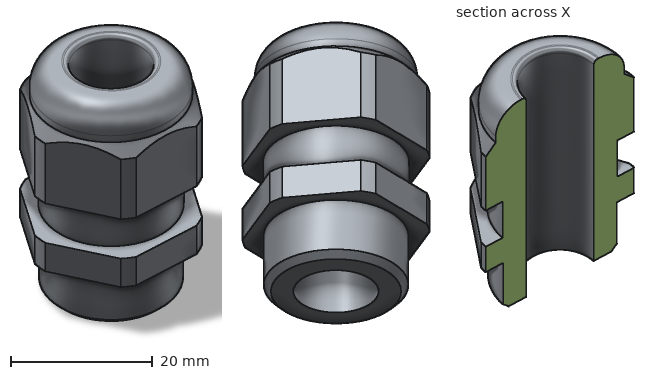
import cadquery as cq
import math

height = 39.0
across_flats = 24.0
across_corners = 26.5

thread_diameter = 20.4
thread_chamfer = 1.0
neck_diameter = 20.6
dome_diameter = 23.0
bore_diameter = 12.0

lower_hex_bottom = 9.0
lower_hex_top = 14.05
nut_bottom = 21.0
nut_top = 33.25
dome_radius = 4.52
mouth_rounding = 0.75


def cylinder(diameter, bottom, top):
    return cq.Workplane("XY").workplane(offset=bottom).circle(diameter / 2).extrude(top - bottom)


def rounded_hexagon(bottom, top):
    """Hexagonal prism with flats facing +X and -X and corners turned round."""
    prism = (
        cq.Workplane("XY")
        .workplane(offset=bottom)
        .polygon(6, across_flats, circumscribed=True)
        .extrude(top - bottom)
    )
    return prism.intersect(cylinder(across_corners, bottom, top))


def thread():
    return cylinder(thread_diameter, 0, lower_hex_bottom).faces("<Z").chamfer(thread_chamfer)


def cap_nut():
    """Rounded hexagon whose upper corners are turned to a 45 degree cone."""
    cone_drop = (across_corners - dome_diameter) / 2
    turned = cylinder(across_corners, nut_bottom, nut_top).faces(">Z").chamfer(cone_drop)
    return rounded_hexagon(nut_bottom, nut_top).intersect(turned)


def dome():
    return cylinder(dome_diameter, nut_top, height).faces(">Z").edges().fillet(dome_radius)


def bore():
    """Through bore that flares at the top with a convex rounded mouth."""
    mouth_radius = bore_diameter / 2 + mouth_rounding
    bend_bottom = height - mouth_rounding
    bend_offset = mouth_rounding * math.sin(math.radians(45))
    bend_middle = (mouth_radius - bend_offset, bend_bottom + bend_offset)
    profile = (
        cq.Workplane("XZ")
        .lineTo(bore_diameter / 2, 0)
        .lineTo(bore_diameter / 2, bend_bottom)
        .threePointArc(bend_middle, (mouth_radius, height))
        .lineTo(0, height)
        .close()
    )
    return profile.revolve(360, (0, 0, 0), (0, 1, 0))


body = (
    thread()
    .union(rounded_hexagon(lower_hex_bottom, lower_hex_top))
    .union(cylinder(neck_diameter, lower_hex_top, nut_bottom))
    .union(cap_nut())
    .union(dome())
)
result = body.cut(bore())